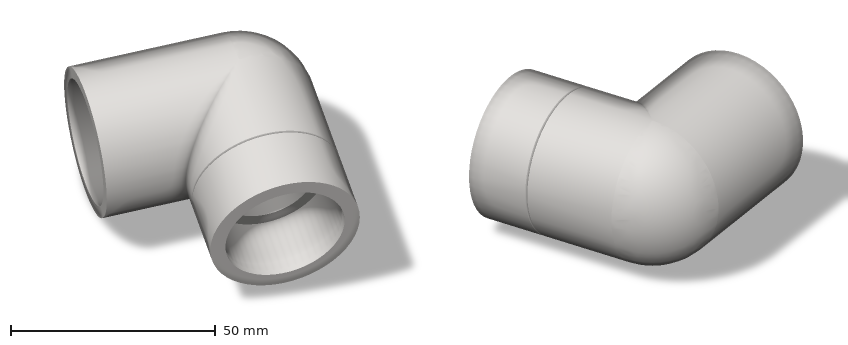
import cadquery as cq

outer_diameter = 38.0
bore_diameter = 24.23
x_leg_length = 41.0
y_leg_length = 39.0

bend_radius = 15.5

socket_diameter = 32.0
socket_depth = 22.0

collar_length = 16.5
thread_bore_diameter = 30.29

groove_width = 0.6
groove_depth = 0.5


def x_cylinder(diameter, start, length):
    """Cylinder on the X axis, running toward +X from x = start."""
    return cq.Workplane("YZ", origin=(start, 0, 0)).circle(diameter / 2).extrude(length)


def y_cylinder(diameter, start, length):
    """Cylinder on the Y axis, running toward -Y from y = -start."""
    return cq.Workplane("XZ", origin=(0, -start, 0)).circle(diameter / 2).extrude(length)


def elbow_body():
    """Two solid legs joined by a sphere that rounds the outside of the corner."""
    corner = cq.Workplane("XY").sphere(outer_diameter / 2)
    x_leg = x_cylinder(outer_diameter, 0, x_leg_length)
    y_leg = y_cylinder(outer_diameter, 0, y_leg_length)
    return x_leg.union(y_leg).union(corner)


def curved_bore():
    """Through bore: two straight lengths joined by a quarter-turn bend."""
    bend = (
        cq.Workplane("XZ", origin=(0, -bend_radius, 0))
        .circle(bore_diameter / 2)
        .revolve(90, (bend_radius, 0), (bend_radius, -1))
    )
    x_part = x_cylinder(bore_diameter, bend_radius, x_leg_length - bend_radius)
    y_part = y_cylinder(bore_diameter, bend_radius, y_leg_length - bend_radius)
    return bend.union(x_part).union(y_part)


def collar_groove():
    """V-shaped ring around the +X leg, centred on the start of the collar."""
    center = x_leg_length - collar_length
    outer_radius = outer_diameter / 2
    return (
        cq.Workplane("XY")
        .moveTo(center - groove_width / 2, outer_radius)
        .lineTo(center, outer_radius - groove_depth)
        .lineTo(center + groove_width / 2, outer_radius)
        .close()
        .revolve(360, (0, 0), (1, 0))
    )


socket = y_cylinder(socket_diameter, y_leg_length - socket_depth, socket_depth)
thread_bore = x_cylinder(thread_bore_diameter, x_leg_length - collar_length, collar_length)

result = (
    elbow_body()
    .cut(curved_bore())
    .cut(socket)
    .cut(thread_bore)
    .cut(collar_groove())
)